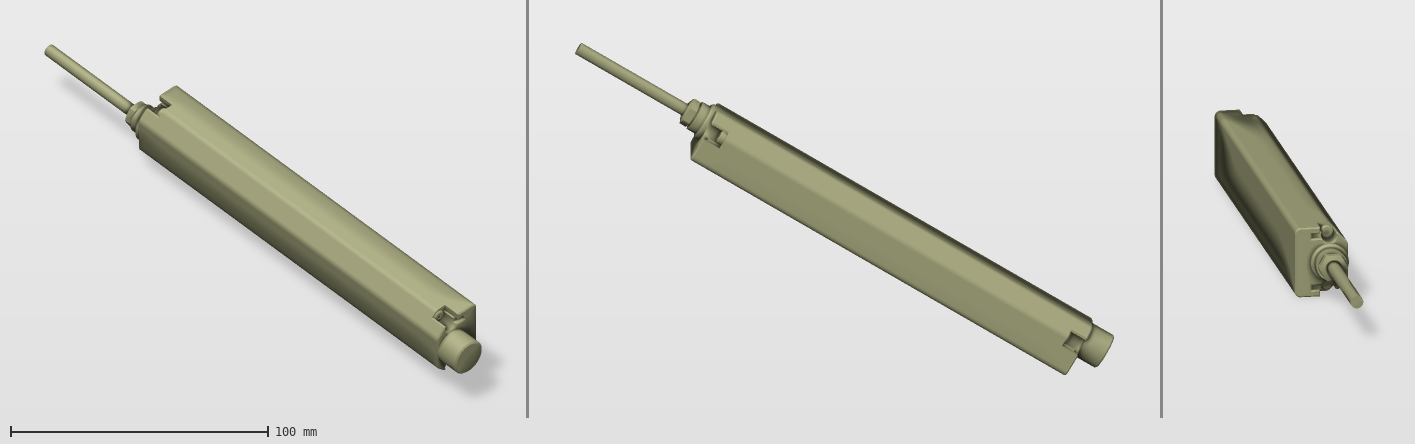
import cadquery as cq

body_length = 170.0
cap_length = 12.5
cable_overhang = 58.5
connector_length = 10.0

section_depth = 20.99
section_height = 28.0
axis_to_front = 7.5
slope_size = 6.5
back_fillet = 2.2
slope_fillet = 3.0
rim_chamfer = 0.5
front_y = -axis_to_front
back_y = section_depth - axis_to_front
half_height = section_height / 2

screw_z = 10.4
screw_bore_radius = 2.9
recess_depth = 7.5
notch_back_y = 3.6
slot_end_y = 7.0
slot_width = 2.0
slot_depth = 2.0
notch_bottom_z = screw_z + slot_width / 2
head_radius = 2.6
head_chamfer = 0.5
socket_across_corners = 2.2
socket_depth = 0.6
cable_side_head_height = 2.3
connector_side_head_height = 0.7

flange_radius = axis_to_front
flange_chamfer = 0.7
flange_length = 2.2
collar_radius = 6.1
collar_end = 5.8
neck_radius = 4.5
neck_end = 6.5
nut_end = 10.2
nut_across_corners = 11.6
nut_corner_fillet = 0.6
nut_chamfer = 1.0
nut_face_radius = 3.6
countersink_radius = 3.4
countersink_depth = 1.0
cable_radius = 2.5

connector_radius = 7.3
connector_chamfer = 0.6


def prism(x_start, length):
    """Length of the D-shaped section: flat back, two 45 degree slopes, flat front."""
    outline = [
        (back_y, -half_height),
        (back_y, half_height),
        (front_y + slope_size, half_height),
        (front_y, half_height - slope_size),
        (front_y, slope_size - half_height),
        (front_y + slope_size, -half_height),
    ]
    body = cq.Workplane("YZ", origin=(x_start, 0, 0)).polyline(outline).close().extrude(length)
    body = body.edges("|X").edges("<Y or <<Y[1]").fillet(slope_fillet)
    return body.edges("|X and >Y").fillet(back_fillet)


def disc(radius, x_start, x_end):
    return cq.Workplane("YZ", origin=(x_start, 0, 0)).circle(radius).extrude(x_end - x_start)


def screw_recess():
    """Recess at the upper corner of a cap whose outer face is X = 0 and which extends to +X."""
    bore = disc(screw_bore_radius, 0, recess_depth).translate((0, 0, screw_z))
    notch = cq.Workplane("XY").box(
        recess_depth, notch_back_y - front_y, half_height - notch_bottom_z, centered=False
    ).translate((0, front_y, notch_bottom_z))
    slot = (
        cq.Workplane("YZ", origin=(0, slot_end_y / 2, screw_z))
        .rect(slot_end_y, slot_width)
        .extrude(slot_depth)
    )
    return bore.union(notch).union(slot)


def screw_head(height):
    """Chamfered head with a hexagon socket, standing on the floor of the recess."""
    return (
        disc(head_radius, recess_depth - height, recess_depth)
        .faces("<X").chamfer(head_chamfer)
        .faces("<X").workplane()
        .polygon(6, socket_across_corners).cutBlind(-socket_depth)
        .translate((0, 0, screw_z))
    )


def end_cap(head_height):
    """End cap with its outer face at X = 0, extending to +X."""
    recess = screw_recess()
    head = screw_head(head_height)
    cap = prism(0, cap_length).cut(recess).cut(recess.mirror("XY"))
    cap = cap.faces("<X").chamfer(rim_chamfer)
    return cap.union(head).union(head.mirror("XY"))


def cable_gland():
    flange = disc(flange_radius, -flange_length, 0).faces("<X").chamfer(flange_chamfer)
    collar = disc(collar_radius, -collar_end, -flange_length)
    neck = disc(neck_radius, -neck_end, -collar_end)
    nut = (
        cq.Workplane("YZ", origin=(-nut_end, 0, 0))
        .polygon(6, nut_across_corners)
        .extrude(nut_end - neck_end)
        .edges("|X").fillet(nut_corner_fillet)
    )
    nut_radius = nut_across_corners / 2
    nut_blank = disc(nut_radius, -nut_end, -neck_end).faces("<X").chamfer(
        nut_chamfer, nut_radius - nut_face_radius
    )
    countersink = cq.Workplane(cq.Solid.makeCone(
        countersink_radius, cable_radius, countersink_depth,
        pnt=cq.Vector(-nut_end, 0, 0), dir=cq.Vector(1, 0, 0),
    ))
    nut = nut.intersect(nut_blank).cut(countersink)
    cable = disc(cable_radius, -cable_overhang, -neck_end)
    return flange.union(collar).union(neck).union(nut).union(cable)


housing = prism(cap_length, body_length - 2 * cap_length)

cable_cap = end_cap(cable_side_head_height).union(cable_gland())

connector = (
    disc(connector_radius, body_length, body_length + connector_length)
    .faces(">X").chamfer(connector_chamfer)
)
connector_cap = (
    end_cap(connector_side_head_height)
    .mirror("YZ")
    .translate((body_length, 0, 0))
    .union(connector)
)

result = cq.Compound.makeCompound([housing.val(), cable_cap.val(), connector_cap.val()])